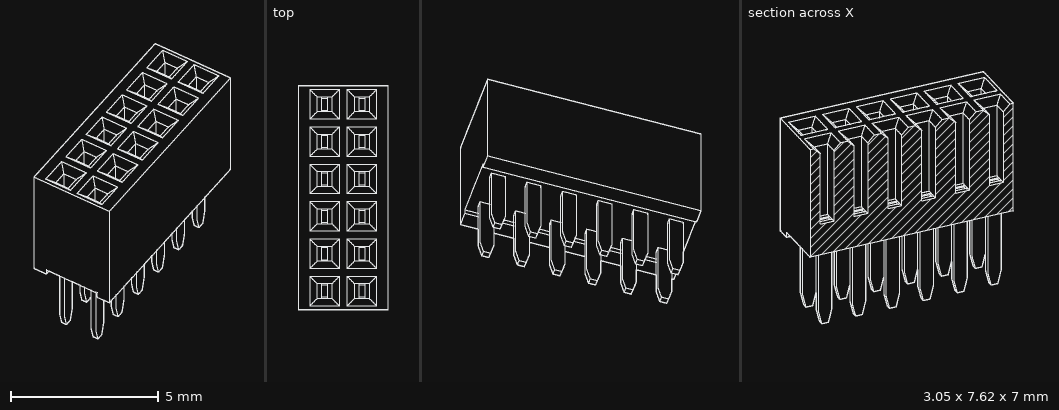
import cadquery as cq

rows = 6
columns = 2
length = 7.62
pitch = length / rows
width = 3.05
overall_height = 7.0
pin_protrusion = 2.6
housing_height = overall_height - pin_protrusion

rail_width = 0.5
rail_height = 0.2

pin_thickness = 0.2
pin_width = 0.5
pin_tip_width = 0.25
pin_tip_height = 0.5

mouth_size = 1.0
throat_size = 0.5
funnel_depth = (mouth_size - throat_size) / 2
throat_depth = 2.75

slit_width = pin_thickness
slit_floor_length = 0.41
slit_depth = (throat_size - slit_floor_length) / 2

housing_top = housing_height / 2
housing_bottom = -housing_height / 2
pin_tip_z = housing_bottom - pin_protrusion
channel_roof = housing_bottom + rail_height
throat_top = housing_top - funnel_depth
socket_floor = throat_top - throat_depth

pin_positions = [
    ((column - (columns - 1) / 2) * pitch, (row - (rows - 1) / 2) * pitch)
    for column in range(columns)
    for row in range(rows)
]


def housing():
    block = cq.Workplane("XY").box(width, length, housing_height)
    channel = (
        cq.Workplane("XY", origin=(0, 0, housing_bottom))
        .rect(width - 2 * rail_width, length)
        .extrude(rail_height)
    )
    return block.cut(channel)


def tapered_pocket(top_x, top_y, bottom_x, bottom_y, top_z, depth):
    """Rectangular pocket volume narrowing downward from top_z."""
    return (
        cq.Workplane("XY", origin=(0, 0, top_z))
        .rect(top_x, top_y)
        .workplane(offset=-depth)
        .rect(bottom_x, bottom_y)
        .loft(combine=True)
    )


def socket():
    funnel = tapered_pocket(
        mouth_size, mouth_size, throat_size, throat_size, housing_top, funnel_depth
    )
    throat = (
        cq.Workplane("XY", origin=(0, 0, throat_top))
        .rect(throat_size, throat_size)
        .extrude(-throat_depth)
    )
    slit = tapered_pocket(
        slit_width, throat_size, slit_width, slit_floor_length, socket_floor, slit_depth
    )
    return funnel.union(throat).union(slit)


def pin():
    shoulder_z = pin_tip_z + pin_tip_height
    return (
        cq.Workplane("YZ")
        .moveTo(-pin_width / 2, channel_roof)
        .lineTo(-pin_width / 2, shoulder_z)
        .lineTo(-pin_tip_width / 2, pin_tip_z)
        .lineTo(pin_tip_width / 2, pin_tip_z)
        .lineTo(pin_width / 2, shoulder_z)
        .lineTo(pin_width / 2, channel_roof)
        .close()
        .extrude(pin_thickness / 2, both=True)
    )


result = housing()
for x, y in pin_positions:
    result = result.cut(socket().translate((x, y, 0)))
    result = result.union(pin().translate((x, y, 0)))